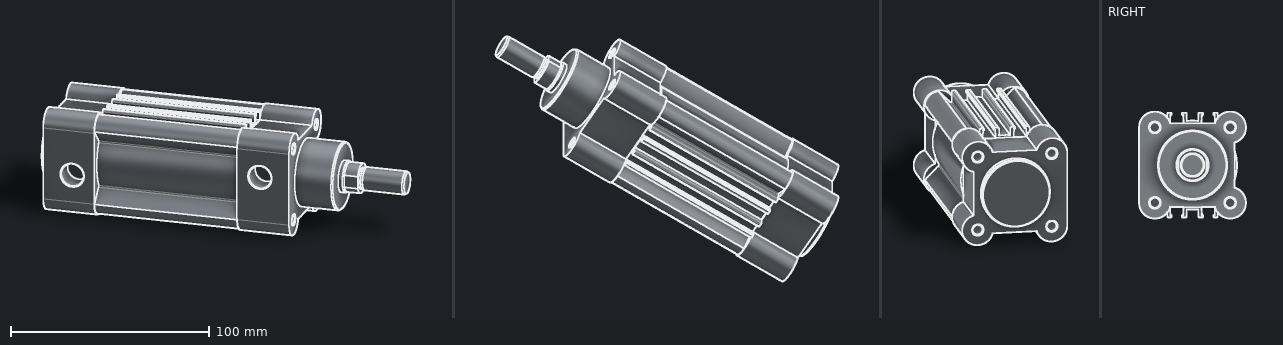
import cadquery as cq
import math


pilot_length = 4.0
cap_length = 27.0
tube_length = 75.5
head_end = 134.0
boss_length = 20.0
rod_extension = 30.0
thread_length = 24.0

cap_start = pilot_length
tube_start = cap_start + cap_length
head_start = tube_start + tube_length
head_length = head_end - head_start
boss_end = head_end + boss_length
shoulder = head_end + rod_extension
rod_end = shoulder + thread_length

cover_size = 54.0
lobe_radius = 8.0
lobe_offset = cover_size / 2 - lobe_radius
web_half_width = 21.2
pilot_radius = 17.5
pilot_chamfer_length = 0.8
pilot_chamfer_depth = 0.5

screw_hole_diameter = 5.0
screw_hole_depth = 16.0
screw_hole_chamfer = 0.5
port_diameter = 11.8
port_chamfer = 0.4
port_depth = 11.0
port_inset = 15.4
port_height = 4.8

barrel_radius = 22.5
arm_half_width = 5.0
arm_end_radius = 7.5
arm_fillet = 0.8

rail_top = 26.5
rail_base = 18.0
rail_inner_side = 2.85
rail_outer_side = 12.8
rail_edge_radius = 0.9
rail_foot_fillet = 0.4
slot_centre = 7.95
slot_mouth_half_width = 2.5
slot_mouth_chamfer = 0.4
slot_neck_half_width = 3.1
slot_floor_half_width = 3.4
slot_lip_height = 25.4
slot_floor_height = 21.0

collar_radius = 8.2
collar_length = 2.2
collar_cone_length = 0.8
rod_radius = 7.7
flat_distance = 7.0
flat_start = boss_end + collar_length + collar_cone_length
thread_radius = 6.0
neck_radius = 5.5
neck_length = 1.0
neck_cone_length = 1.2
thread_chamfer_length = 1.0

POSITION_TOLERANCE = 0.01
CORNERS = [(y, z) for y in (-1, 1) for z in (-1, 1)]


def section_plane(x):
    """Plane across the axis at x: local x is Y, local y is Z."""
    return cq.Workplane("YZ", origin=(x, 0, 0))


def cover_block(x, length):
    """Plate with four round lobes; flat and full width on the -Y side."""
    web = section_plane(x).rect(2 * web_half_width, 2 * web_half_width).extrude(length)
    front_depth = cover_size / 2 - web_half_width
    front = (
        section_plane(x)
        .center(-web_half_width - front_depth / 2, 0)
        .rect(front_depth, 2 * lobe_offset)
        .extrude(length)
    )
    lobe_centres = [(y * lobe_offset, z * lobe_offset) for y, z in CORNERS]
    lobes = section_plane(x).pushPoints(lobe_centres).circle(lobe_radius).extrude(length)
    return web.union(front).union(lobes)


def screw_holes(face_x, direction):
    """Chamfered blind holes entering the cover face along direction (+1 or -1 in X)."""
    radius = screw_hole_diameter / 2
    profile = (
        cq.Workplane("XY")
        .polyline([
            (face_x, 0),
            (face_x, radius + screw_hole_chamfer),
            (face_x + direction * screw_hole_chamfer, radius),
            (face_x + direction * screw_hole_depth, radius),
            (face_x + direction * screw_hole_depth, 0),
        ])
        .close()
        .revolve(360, (0, 0, 0), (1, 0, 0))
    )
    holes = cq.Workplane("XY")
    for y, z in CORNERS:
        holes = holes.add(profile.translate((0, y * lobe_offset, z * lobe_offset)))
    return holes.combine()


def air_port(x, z):
    """Blind round port with a chamfered mouth, bored into the -Y face."""
    face = cq.Workplane("XZ", origin=(x, -cover_size / 2, z))
    radius = port_diameter / 2
    bore = face.circle(radius).extrude(-port_depth)
    mouth = cq.Solid.makeCone(
        radius + port_chamfer,
        radius,
        port_chamfer,
        cq.Vector(x, -cover_size / 2, z),
        cq.Vector(0, 1, 0),
    )
    return bore.union(cq.Workplane(mouth))


def round_pilot(base_x, tip_x):
    """Cylinder on the axis with a shallow lead-in chamfer at tip_x."""
    inward = math.copysign(pilot_chamfer_length, base_x - tip_x)
    return (
        cq.Workplane("XY")
        .polyline([
            (base_x, 0),
            (base_x, pilot_radius),
            (tip_x + inward, pilot_radius),
            (tip_x, pilot_radius - pilot_chamfer_depth),
            (tip_x, 0),
        ])
        .close()
        .revolve(360, (0, 0, 0), (1, 0, 0))
    )


def make_rear_cap():
    cap = cover_block(cap_start, cap_length).union(round_pilot(cap_start, 0))
    cap = cap.cut(screw_holes(cap_start, 1))
    return cap.cut(air_port(cap_start + port_inset, -port_height))


def make_front_head():
    head = cover_block(head_start, head_length).union(round_pilot(head_end, boss_end))
    head = head.cut(screw_holes(head_end, -1))
    return head.cut(air_port(head_end - port_inset, port_height))


def tube_arm(angle):
    """Diagonal arm from the axis to a corner, with a wide round end."""
    centre = lobe_offset * math.sqrt(2)
    corner = centre + math.sqrt(arm_end_radius**2 - arm_half_width**2)
    return (
        section_plane(tube_start)
        .moveTo(0, -arm_half_width)
        .lineTo(corner, -arm_half_width)
        .threePointArc((centre + arm_end_radius, 0), (corner, arm_half_width))
        .lineTo(0, arm_half_width)
        .close()
        .extrude(tube_length)
        .rotate((0, 0, 0), (1, 0, 0), angle)
    )


def is_arm_root(edge):
    """True for the inside corners where the arms leave the barrel."""
    point = edge.Center()
    on_barrel = abs(math.hypot(point.y, point.z) - barrel_radius) < POSITION_TOLERANCE
    return on_barrel and min(abs(point.y), abs(point.z)) > arm_half_width


def is_rail_foot(edge):
    """True for the sharp valleys between the outer rail walls and the arms."""
    point = edge.Center()
    foot_height = rail_outer_side + arm_half_width * math.sqrt(2)
    on_wall = abs(abs(point.y) - rail_outer_side) < POSITION_TOLERANCE
    return on_wall and abs(abs(point.z) - foot_height) < POSITION_TOLERANCE


def sensor_rail():
    """Rail on the +Y, +Z quarter of the tube, round on both top edges."""
    width = rail_outer_side - rail_inner_side
    height = rail_top - rail_base
    return (
        section_plane(tube_start)
        .center(rail_inner_side + width / 2, rail_base + height / 2)
        .rect(width, height)
        .extrude(tube_length)
        .edges("|X and >Z")
        .fillet(rail_edge_radius)
    )


def sensor_slot():
    """Undercut slot in the rail, widening from a narrow mouth to its floor."""
    half_outline = [
        (slot_floor_half_width, slot_floor_height),
        (slot_neck_half_width, slot_lip_height),
        (slot_mouth_half_width, slot_lip_height),
        (slot_mouth_half_width, rail_top - slot_mouth_chamfer),
        (slot_mouth_half_width + slot_mouth_chamfer, rail_top),
    ]
    right_side = [(slot_centre + half, z) for half, z in half_outline]
    left_side = [(slot_centre - half, z) for half, z in reversed(half_outline)]
    return section_plane(tube_start).polyline(right_side + left_side).close().extrude(tube_length)


def make_tube():
    tube = section_plane(tube_start).circle(barrel_radius).extrude(tube_length)
    for angle in (45, 135, 225, 315):
        tube = tube.union(tube_arm(angle))
    tube = tube.edges("|X").filter(is_arm_root).fillet(arm_fillet)
    rail = sensor_rail()
    slot = sensor_slot()
    for turn in (0, 180):
        for side in (rail, rail.mirror("XZ")):
            tube = tube.union(side.rotate((0, 0, 0), (1, 0, 0), turn))
        for side in (slot, slot.mirror("XZ")):
            tube = tube.cut(side.rotate((0, 0, 0), (1, 0, 0), turn))
    return tube.edges("|X").filter(is_rail_foot).fillet(rail_foot_fillet)


def make_piston_rod():
    collar_end = boss_end + collar_length
    neck_end = shoulder + neck_length
    rod = (
        cq.Workplane("XY")
        .polyline([
            (boss_end, 0),
            (boss_end, collar_radius),
            (collar_end, collar_radius),
            (flat_start, rod_radius),
            (shoulder, rod_radius),
            (shoulder, neck_radius),
            (neck_end, neck_radius),
            (neck_end + neck_cone_length, thread_radius),
            (rod_end - thread_chamfer_length, thread_radius),
            (rod_end, neck_radius),
            (rod_end, 0),
        ])
        .close()
        .revolve(360, (0, 0, 0), (1, 0, 0))
    )
    flat_length = shoulder - flat_start
    for side in (-1, 1):
        waste = cq.Workplane("XY").box(flat_length, rod_radius, 2 * rod_radius)
        offset = side * (flat_distance + rod_radius / 2)
        rod = rod.cut(waste.translate((flat_start + flat_length / 2, offset, 0)))
    return rod


rear_cap = make_rear_cap()
tube = make_tube()
front_head = make_front_head()
piston_rod = make_piston_rod()

result = cq.Compound.makeCompound([
    rear_cap.val(),
    tube.val(),
    front_head.val(),
    piston_rod.val(),
])